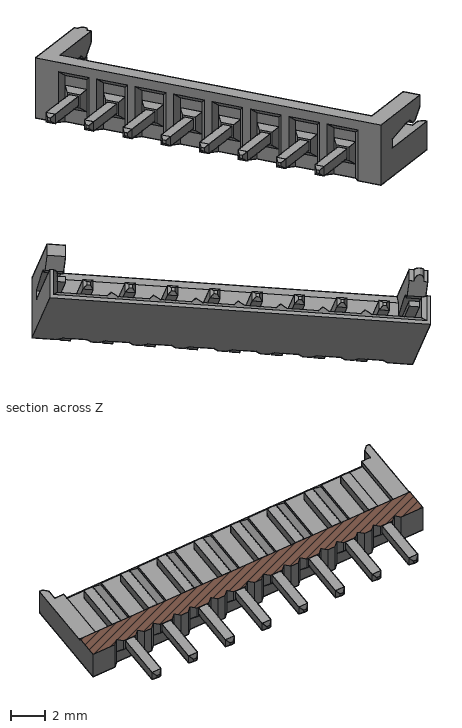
import cadquery as cq

LENGTH = 22.5
DEPTH = 6.0
HEIGHT = 3.8
PIN_COUNT = 8
PITCH = LENGTH / (PIN_COUNT + 1)

FLOOR_TOP = 0.5
END_WALL = 0.5
END_WALL_TOP = 1.8
LEDGE_BOTTOM = 1.46
FRONT_WALL = 1.48
FRONT_WALL_RIM = 1.01
FRONT_BEVEL_DROP = 0.6

MOUTH_DEPTH = 0.27

RIDGE_HALF_WIDTH = 0.32
RIDGE_HEIGHT = 0.45

ARM_WIDTH = 1.1
ARM_END = 5.08
ARM_NOSE = 3.08
HOOK_BOTTOM = 2.4
HOOK_BACK = ARM_END - (ARM_NOSE - HOOK_BOTTOM)
HOOK_FRONT = 4.1
ARM_UNDERSIDE = 2.7
RELIEF_BACK = HOOK_FRONT - (ARM_UNDERSIDE - HOOK_BOTTOM)
RELIEF_FRONT = 3.25
ARM_ROOT = 2.36

KEY_RADIUS = 0.3
KEY_X = 0.52

SOCKET_WIDTH = 1.42
SOCKET_DEPTH = 0.3
SOCKET_TOP = 2.92
BOSS_TIP = 0.83

PIN_WIDTH = 0.6
PIN_Z = 1.6
PIN_FRONT = -3.2
PIN_BACK = 4.84
PIN_TIP_WIDTH = 0.2
PIN_TIP_LENGTH = 0.2

PIN_XS = [PITCH * (i + 1) for i in range(PIN_COUNT)]


def box(x0, x1, y0, y1, z0, z1):
    return cq.Workplane("XY").box(x1 - x0, y1 - y0, z1 - z0, centered=False).translate((x0, y0, z0))


def side_profile(points, x0, x1):
    """Extrude a (y, z) outline from x0 to x1."""
    return cq.Workplane("YZ").polyline(points).close().extrude(x1 - x0).translate((x0, 0, 0))


def square_frustum(x, z, y0, width0, y1, width1):
    """Square frustum along Y, centred on (x, z)."""
    frustum = cq.Workplane("XZ").rect(width0, width0).workplane(offset=y0 - y1).rect(width1, width1).loft()
    return frustum.translate((x, y0, z))


def base():
    """Front wall and the floor with its ridges."""
    front_wall = side_profile(
        [
            (0, 0),
            (FRONT_WALL, 0),
            (FRONT_WALL, HEIGHT - FRONT_BEVEL_DROP),
            (FRONT_WALL_RIM, HEIGHT),
            (0, HEIGHT),
        ],
        0,
        LENGTH,
    )
    body = front_wall.union(box(0, LENGTH, 0, DEPTH, 0, FLOOR_TOP))
    for x in PIN_XS[:-1]:
        body = body.union(ridge(x + PITCH / 2))

    ridge_top = FLOOR_TOP + RIDGE_HEIGHT
    mouth = side_profile(
        [
            (DEPTH, FLOOR_TOP - MOUTH_DEPTH),
            (DEPTH, ridge_top),
            (DEPTH - MOUTH_DEPTH - RIDGE_HEIGHT, ridge_top),
        ],
        0,
        LENGTH,
    )
    return body.cut(mouth)


def ridge(x):
    """Triangular ridge along the floor, centred on x."""
    outline = [
        (x - RIDGE_HALF_WIDTH, FLOOR_TOP),
        (x + RIDGE_HALF_WIDTH, FLOOR_TOP),
        (x, FLOOR_TOP + RIDGE_HEIGHT),
    ]
    return cq.Workplane("XZ").polyline(outline).close().extrude(-DEPTH)


def left_end():
    """End wall flared at the back, with a ledge inside it and the latch arm above it."""
    wall = (
        cq.Workplane("XY")
        .lineTo(END_WALL, 0)
        .lineTo(END_WALL, DEPTH - MOUTH_DEPTH)
        .lineTo(END_WALL - MOUTH_DEPTH, DEPTH)
        .lineTo(0, DEPTH)
        .close()
        .extrude(END_WALL_TOP)
    )
    ledge = box(0, ARM_WIDTH, 0, ARM_END, LEDGE_BOTTOM, END_WALL_TOP)
    arm = side_profile(
        [
            (0, END_WALL_TOP),
            (FRONT_WALL, END_WALL_TOP),
            (FRONT_WALL, ARM_ROOT),
            (RELIEF_FRONT, ARM_UNDERSIDE),
            (RELIEF_BACK, ARM_UNDERSIDE),
            (HOOK_FRONT, HOOK_BOTTOM),
            (HOOK_BACK, HOOK_BOTTOM),
            (ARM_END, ARM_NOSE),
            (ARM_END, HEIGHT),
            (0, HEIGHT),
        ],
        0,
        ARM_WIDTH,
    )
    return wall.union(ledge).union(arm)


def arm_key():
    """Round key whose underside carries on the 45 degree slope of the hook."""
    key_end = ARM_END + KEY_RADIUS
    key = cq.Workplane("XY").circle(KEY_RADIUS).extrude(HEIGHT).translate((KEY_X, ARM_END, 0))
    above_slope = side_profile(
        [
            (HOOK_BACK, HOOK_BOTTOM),
            (key_end, ARM_NOSE + KEY_RADIUS),
            (key_end, HEIGHT),
            (HOOK_BACK, HEIGHT),
        ],
        0,
        ARM_WIDTH,
    )
    return key.intersect(above_slope)


def socket(x):
    """Recess open at the bottom, with 45 degree flares on its sides and top."""
    recess = (
        cq.Workplane("XZ")
        .rect(SOCKET_WIDTH + 2 * SOCKET_DEPTH, 2 * (SOCKET_TOP + SOCKET_DEPTH))
        .workplane(offset=-SOCKET_DEPTH)
        .rect(SOCKET_WIDTH, 2 * SOCKET_TOP)
        .loft()
    )
    return recess.translate((x, 0, 0))


def pin(x):
    """Square pin with tapered tips and the boss around it in the socket."""
    body_front = PIN_FRONT + PIN_TIP_LENGTH
    body_back = PIN_BACK - PIN_TIP_LENGTH
    boss = square_frustum(x, PIN_Z, 0, BOSS_TIP, SOCKET_DEPTH, SOCKET_WIDTH)
    shaft = square_frustum(x, PIN_Z, body_front, PIN_WIDTH, body_back, PIN_WIDTH)
    front_tip = square_frustum(x, PIN_Z, PIN_FRONT, PIN_TIP_WIDTH, body_front, PIN_WIDTH)
    back_tip = square_frustum(x, PIN_Z, body_back, PIN_WIDTH, PIN_BACK, PIN_TIP_WIDTH)
    return boss.union(shaft).union(front_tip).union(back_tip)


end = left_end()
result = base().union(end).union(end.mirror("YZ").translate((LENGTH, 0, 0))).union(arm_key())
for pin_x in PIN_XS:
    result = result.cut(socket(pin_x)).union(pin(pin_x))